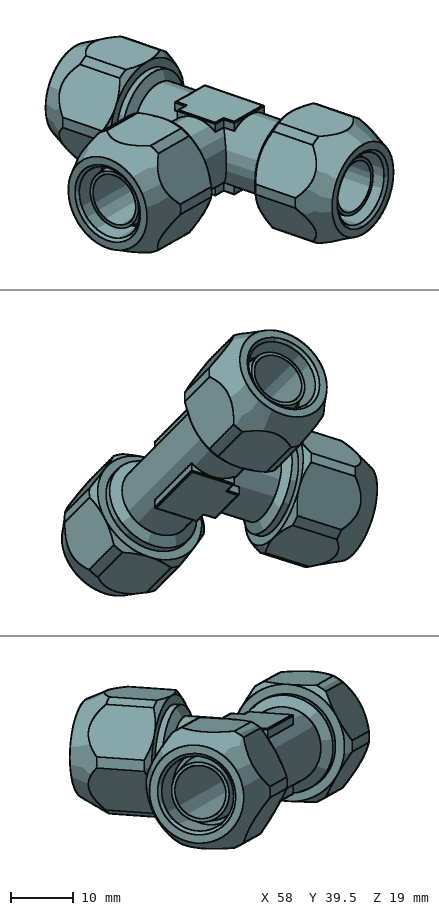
import cadquery as cq

arm_reach = 29.0

across_flats = 19.0
hexagon_turn = 30
corner_diameter = 21.0
nut_length = 14.45
nose_length = 5.45
nose_diameter = 15.95
back_radius = 9.5
back_chamfer_length = 0.9

mouth_radius = 6.6
mouth_chamfer_length = 0.45
opening_radius = 6.1
opening_depth = 5.8
bore_diameter = 8.65
support_tip_radius = 4.9
support_root_radius = 5.4
support_tip_depth = 1.75

pipe_radius = 6.25
collar_diameter = 15.95
collar_length = 1.15
collar_taper_length = 1.0

pad_reach = 6.05
pad_half_width = 3.9
pad_height = 6.5
pad_edge = 0.2

nut_back = arm_reach - nut_length
collar_start = nut_back - collar_length
corner_radius = corner_diameter / 2
nose_radius = nose_diameter / 2
collar_radius = collar_diameter / 2
bore_radius = bore_diameter / 2


def turned(profile):
    """Revolve (station, radius) points about the X axis, closing them along the axis."""
    first, last = profile[0], profile[-1]
    points = [(first[0], 0), *profile, (last[0], 0)]
    return cq.Workplane("XY").polyline(points).close().revolve(360, (0, 0, 0), (1, 0, 0))


def make_nut():
    """Hexagon with flats facing +Z and -Z, trimmed by the turned outline."""
    hexagon = (
        cq.Workplane("YZ")
        .workplane(offset=nut_back)
        .transformed(rotate=(0, 0, hexagon_turn))
        .polygon(6, across_flats, circumscribed=True)
        .extrude(nut_length)
    )
    outline = turned([
        (nut_back, back_radius),
        (nut_back + back_chamfer_length, corner_radius),
        (arm_reach - nose_length, corner_radius),
        (arm_reach, nose_radius),
    ])
    return hexagon.intersect(outline)


def make_pipe():
    """Pipe from the tee centre, flaring to the collar behind the nut."""
    return turned([
        (0, pipe_radius),
        (collar_start - collar_taper_length, pipe_radius),
        (collar_start, collar_radius),
        (nut_back, collar_radius),
    ])


def make_opening():
    """Tube space in the nut, leaving the tapered support standing in its middle."""
    seat = arm_reach - opening_depth
    pocket = turned([
        (seat, opening_radius),
        (arm_reach - mouth_chamfer_length, opening_radius),
        (arm_reach, mouth_radius),
    ])
    support = turned([
        (seat, support_root_radius),
        (arm_reach - support_tip_depth, support_tip_radius),
    ])
    return pocket.cut(support)


def make_pads():
    """Tee-shaped block through the body, bevelled round its top and bottom faces."""
    reach, half = pad_reach, pad_half_width
    outline = [
        (-reach, half), (reach, half), (reach, -half), (half, -half),
        (half, -reach), (-half, -reach), (-half, -half), (-reach, -half),
    ]
    block = cq.Workplane("XY").polyline(outline).close().extrude(pad_height, both=True)
    return block.faces("|Z").chamfer(pad_edge)


def on_every_arm(shape):
    """Copy a shape lying along +X onto the +X, -X and -Y arms."""
    copies = shape
    for angle in (180, -90):
        copies = copies.union(shape.rotate((0, 0, 0), (0, 0, 1), angle))
    return copies


bore = turned([(0, bore_radius), (arm_reach, bore_radius)])

result = (
    on_every_arm(make_pipe())
    .union(make_pads())
    .union(on_every_arm(make_nut()))
    .cut(on_every_arm(make_opening()))
    .cut(on_every_arm(bore))
)